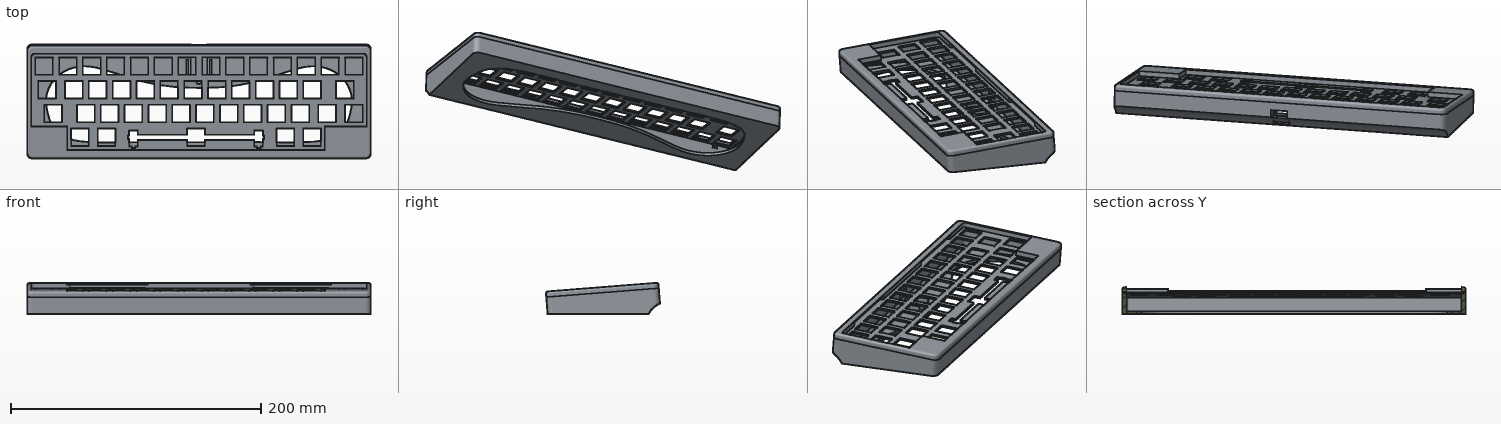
import cadquery as cq
tilt = 4.5
width = 274.7
case_front = -44.2
case_rear = 46.1
deck_top = 21.7
corner_radius = 4.5
top_fillet = 2.0
bezel_height = 4.5
seam = deck_top - bezel_height
below_case = 16.5

pitch = 19.05
rows_mid = 1.18
key_hole = 14.0
units_wide = 14
opening_clearance = 0.5
opening_radius = 2.5
left_blocker_units = 1.5
right_blocker_units = 1.75
space_bar_units = 6.25
key_rows = [
    [1] * 14,
    [1.25] + [1] * 11 + [1.75],
    [1.75] + [1] * 10 + [1.25, 1],
    [1, 1.25, space_bar_units, 1.25, 1],
]
row_starts = [0, 0, 0, left_blocker_units]

plate_thickness = 1.5
plate_rise = 0.5
plate_top = seam + plate_rise
plate_bottom = plate_top - plate_thickness
plate_overhang = 2.0
plate_radius = 1.5

stab_offset = 50.0
stab_width = 6.75
stab_front = -7.5
stab_rear = 5.5
stab_bar_height = 4.0
stab_side_notch = 0.8
stab_side_notch_height = 2.7
stab_foot_width = 3.0
stab_foot = 1.0

undercut_inner = 41.0
undercut_outer = 105.5
undercut_mouth_radius = 2.5
undercut_end_radius = 1.75
undercut_depth = undercut_mouth_radius + undercut_end_radius
rim_lip = 1.0

side_wall = 3.8
rear_wall = 7.7
front_wall = 5.0
floor_thickness = 2.5
cavity_radius = 1.75
scoop_radius = 19.2
scoop_y = 53.3
scoop_z = -9.0
cavity_rear = case_rear - rear_wall

port_width = 13.5
port_bottom = 8.0
port_top = 14.3
port_overlap = 2.7
channel_floor = 1.5
channel_front = 17.9
rib_inner = 8.65
rib_width = 1.6
rib_front = 19.8
rib_rear = 33.5
rib_top = 6.3
socket_diameter = 4.0
socket_y = 16.0

screw_diameter = 4.0
screw_x = 119.5
screw_bottom = 13.5
screw_inset = 0.8

opening_rear_y = 10.7
opening_front_y = -32.5
opening_side = [
    (-17.3, 11.3), (-46.7, 16.2), (-72.8, 24.5), (-90.7, 28.0), (-106.0, 24.7), (-116.7, 16.0),
    (-122.0, 2.7), (-120.5, -10.0), (-115.5, -22.0), (-102.2, -30.2), (-90.7, -32.1), (-55.0, -32.5),
]

row_left = -units_wide * pitch / 2
opening_half = -row_left + opening_clearance
opening_rear = rows_mid + 2 * pitch + opening_clearance
opening_front = rows_mid - 2 * pitch - opening_clearance
blocker_rear = rows_mid - pitch - opening_clearance
left_blocker_edge = row_left + left_blocker_units * pitch - opening_clearance
right_blocker_edge = -row_left - right_blocker_units * pitch + opening_clearance


def tilted(body):
    return body.rotate((0, 0, 0), (1, 0, 0), tilt)


def block(x0, x1, y0, y1, z0, z1):
    return cq.Workplane("XY").box(x1 - x0, y1 - y0, z1 - z0, centered=False).translate((x0, y0, z0))


def rounded_block(x0, x1, y0, y1, z0, z1, radius):
    return block(x0, x1, y0, y1, z0, z1).edges("|Z").fillet(radius)


def scoop(radius):
    """Cylinder along X that hollows the underside of the rear edge."""
    return cq.Workplane("YZ").center(scoop_y, scoop_z).circle(radius).extrude(width, both=True)


def plate_blank():
    """Plate without cutouts, also the shape of the recess that holds it."""
    return rounded_block(
        -opening_half - plate_overhang, opening_half + plate_overhang,
        opening_front - plate_overhang, opening_rear + undercut_depth,
        plate_bottom, plate_top, plate_radius,
    )


def undercut(x_mid):
    """Shallow pocket in the rear rim, with rounded mouth corners and rounded ends."""
    mouth = (undercut_outer - undercut_inner) / 2
    waist = mouth - undercut_mouth_radius
    floor_half = waist - undercut_end_radius
    y_waist = opening_rear + undercut_mouth_radius
    y_floor = opening_rear + undercut_depth
    return (
        cq.Workplane("XY", origin=(x_mid, 0, seam))
        .moveTo(-mouth, opening_rear)
        .radiusArc((-waist, y_waist), -undercut_mouth_radius)
        .radiusArc((-floor_half, y_floor), undercut_end_radius)
        .lineTo(floor_half, y_floor)
        .radiusArc((waist, y_waist), undercut_end_radius)
        .radiusArc((mouth, opening_rear), -undercut_mouth_radius)
        .close()
        .extrude(bezel_height - rim_lip)
    )


def bezel_opening():
    """Opening over the keys, narrower at the front between the two corner blockers."""
    main = rounded_block(
        -opening_half, opening_half, opening_front, opening_rear, seam, deck_top, opening_radius
    )
    main = main.intersect(block(-width, width, blocker_rear, case_rear, seam, deck_top))
    front = block(
        left_blocker_edge, right_blocker_edge, opening_front, rows_mid, seam, deck_top
    )
    return main.union(front)


def make_bezel():
    body = rounded_block(
        -width / 2, width / 2, case_front, case_rear, seam, deck_top, corner_radius
    )
    body = body.faces(">Z").edges().fillet(top_fillet)
    body = body.cut(bezel_opening()).cut(plate_blank())
    for side in (-1, 1):
        body = body.cut(undercut(side * (undercut_inner + undercut_outer) / 2))
    return tilted(body)


def plate_cut(x0, x1, y0, y1):
    return block(x0, x1, y0, y1, plate_bottom, plate_top)


def stab_cutout(x, y):
    """Wire slot and the two stabiliser housings either side of a key."""
    bar_half = stab_bar_height / 2
    notch_half = stab_side_notch_height / 2
    foot_half = stab_foot_width / 2
    cut = plate_cut(x - stab_offset, x + stab_offset, y - bar_half, y + bar_half)
    for side in (-1, 1):
        mid = x + side * stab_offset
        tip = mid + side * (stab_width / 2 + stab_side_notch)
        notch_left, notch_right = sorted((mid, tip))
        housing = plate_cut(mid - stab_width / 2, mid + stab_width / 2, y + stab_front, y + stab_rear)
        foot = plate_cut(mid - foot_half, mid + foot_half, y + stab_front - stab_foot, y)
        notch = plate_cut(notch_left, notch_right, y - notch_half, y + notch_half)
        cut = cut.union(housing).union(foot).union(notch)
    return cut


def make_plate():
    body = plate_blank()
    half = key_hole / 2
    for row, (start, keys) in enumerate(zip(row_starts, key_rows)):
        y = rows_mid + (1.5 - row) * pitch
        edge = row_left + start * pitch
        for units in keys:
            x = edge + units * pitch / 2
            body = body.cut(plate_cut(x - half, x + half, y - half, y + half))
            if units == space_bar_units:
                body = body.cut(stab_cutout(x, y))
            edge += units * pitch
    return tilted(body)


def tray_shell():
    """Tilted tray with a level underside, hollowed to an even floor thickness."""
    above_ground = block(-width, width, -width, width, 0, width)
    body = tilted(
        rounded_block(
            -width / 2, width / 2, case_front, case_rear, -below_case, seam, corner_radius
        )
    )
    body = body.intersect(above_ground).cut(scoop(scoop_radius))
    cavity = tilted(
        rounded_block(
            -width / 2 + side_wall, width / 2 - side_wall, case_front + front_wall, cavity_rear,
            -below_case, seam, cavity_radius,
        )
    )
    cavity = cavity.intersect(above_ground.translate((0, 0, floor_thickness)))
    cavity = cavity.cut(scoop(scoop_radius + floor_thickness))
    return body.cut(cavity).cut(tilted(plate_blank()))


def floor_opening():
    right_side = [(-x, y) for x, y in reversed(opening_side)]
    points = [(0, opening_rear_y)] + opening_side + [(0, opening_front_y)] + right_side
    return cq.Workplane("XY").spline(points, periodic=True).close().extrude(floor_thickness)


def add_port(body):
    """Ribs, floor channel, rear port and socket of the USB connector."""
    half = port_width / 2
    for side in (-1, 1):
        left, right = sorted((side * rib_inner, side * (rib_inner + rib_width)))
        body = body.union(block(left, right, rib_front, rib_rear, channel_floor, rib_top))
    channel = block(-half, half, channel_front, cavity_rear, channel_floor, port_bottom)
    port = block(
        -half, half, cavity_rear - port_overlap, case_rear + port_overlap, port_bottom, port_top
    )
    socket = (
        cq.Workplane("XY", origin=(0, socket_y, channel_floor))
        .circle(socket_diameter / 2)
        .extrude(floor_thickness)
    )
    return body.cut(channel).cut(port).cut(socket)


def screw_groove(x):
    groove = (
        cq.Workplane("XY", origin=(x, cavity_rear + screw_inset, screw_bottom))
        .circle(screw_diameter / 2)
        .extrude(seam - screw_bottom)
    )
    return tilted(groove)


def make_tray():
    body = tray_shell().cut(floor_opening())
    body = add_port(body)
    for side in (-1, 1):
        body = body.cut(screw_groove(side * screw_x))
    return body


bezel = make_bezel()
plate = make_plate()
tray = make_tray()
result = cq.Compound.makeCompound([bezel.val(), plate.val(), tray.val()])